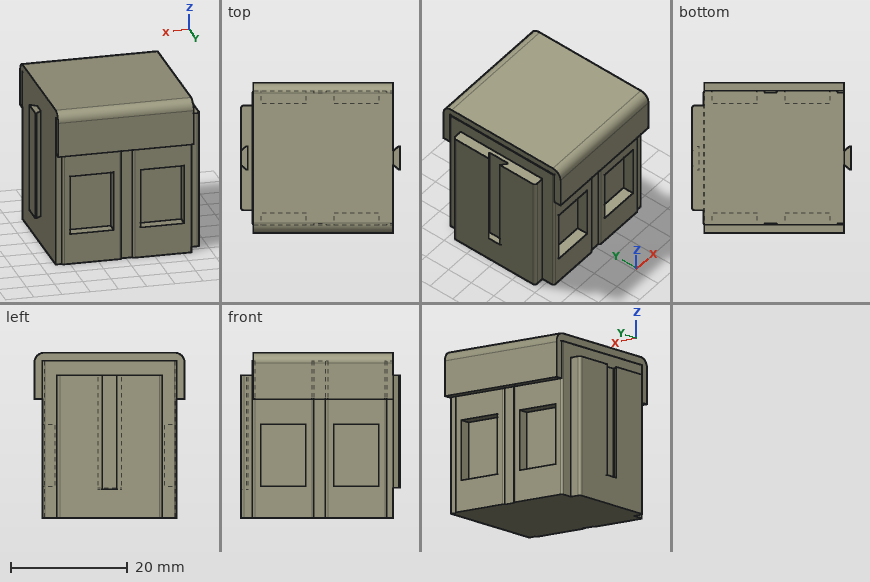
import cadquery as cq

total_length = 27.3
total_width = 25.8
total_height = 28.4

cap_length = 24.0
cap_thickness = 1.4
cap_skirt_height = 8.0
cap_radius = 1.75

dovetail_depth = 1.2
dovetail_mouth = 2.45
dovetail_width = 4.0
dovetail_land = 0.25
groove_bottom = 5.0
key_bottom = 5.2

tab_thickness = 2.0
tab_width = 18.0
tab_top = 24.5
tab_radius = 0.5

module_pitch = 12.5
panel_length = 10.5
panel_step = 0.3
panel_radius = 0.37

window_length = 7.72
window_height = 10.6
window_bottom = 5.48
window_inset = 1.4
window_depth = 2.1

body_left = tab_thickness
body_right = total_length - dovetail_depth
body_width = total_width - 2 * cap_thickness
body_height = total_height - cap_thickness
module_starts = [body_left, body_left + module_pitch]


def block(x_start, length, width, z_start, height):
    """Box centred on the XZ plane, placed by its -X end and its underside."""
    return cq.Workplane("XY").box(length, width, height, centered=(False, True, False)).translate(
        (x_start, 0, z_start)
    )


def make_cap():
    cap_left = body_right - cap_length
    cap_bottom = total_height - cap_skirt_height
    cap = block(cap_left, cap_length, total_width, cap_bottom, cap_skirt_height)
    cap = cap.edges("|X and >Z").fillet(cap_radius)
    hollow = block(cap_left, cap_length, body_width, cap_bottom, body_height - cap_bottom)
    return cap.cut(hollow)


def make_body():
    """Core with a raised panel per module on both long sides; +X panel edges round down to the core."""
    core_width = body_width - 2 * panel_step
    core_start = body_left + panel_radius
    body = block(core_start, body_right - core_start, core_width, 0, body_height)
    for x_start in module_starts:
        panel = block(x_start, panel_length, body_width, 0, body_height)
        panel = panel.edges("|Z and <X").fillet(panel_radius)
        panel = panel.edges("|Z and >X").fillet(panel_step)
        body = body.union(panel)
    return body


def cut_windows(body):
    """Rectangular pockets in both long sides of every module."""
    y_offset = (body_width - window_depth) / 2
    for x_start in module_starts:
        pocket = block(x_start + window_inset, window_length, window_depth, window_bottom, window_height)
        for side in (-1, 1):
            body = body.cut(pocket.translate((0, side * y_offset, 0)))
    return body


def make_dovetail(x_mouth, z_start):
    """Dovetail prism widening from its mouth toward +X, up to the level of the tab top."""
    x_end = x_mouth + dovetail_depth
    x_wide = x_end - dovetail_land
    half_mouth = dovetail_mouth / 2
    half_width = dovetail_width / 2
    outline = [
        (x_mouth, -half_mouth),
        (x_wide, -half_width),
        (x_end, -half_width),
        (x_end, half_width),
        (x_wide, half_width),
        (x_mouth, half_mouth),
    ]
    prism = cq.Workplane("XY").polyline(outline).close().extrude(tab_top - z_start)
    return prism.translate((0, 0, z_start))


def make_tab():
    tab = block(0, tab_thickness, tab_width, 0, tab_top)
    tab = tab.edges("|Z and <X").fillet(tab_radius)
    return tab.cut(make_dovetail(0, groove_bottom))


key = make_dovetail(body_right, key_bottom)
result = cut_windows(make_body()).union(make_cap()).union(make_tab()).union(key)